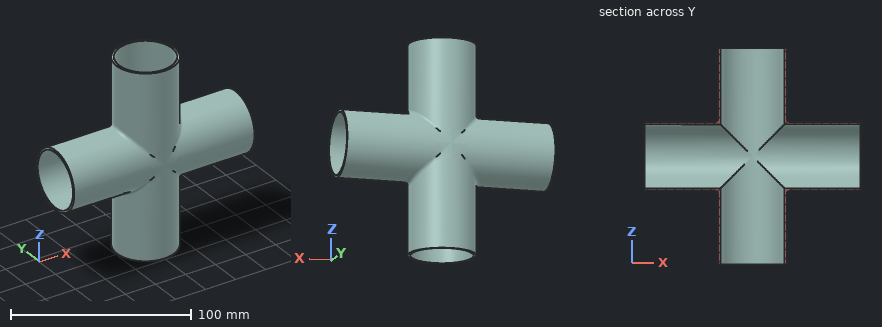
import cadquery as cq
import math

span = 120.0
outer_diameter = 38.2
bore_diameter = 35.2
overall_depth = 38.3
crotch_radius = 2.0
fillet_end_angle = 60.0
patch_half_width = 8.4
edge_intervals = 4

outer_radius = outer_diameter / 2
end_sine = math.sin(math.radians(fillet_end_angle))
end_cosine = math.cos(math.radians(fillet_end_angle))

fillet_end_y = outer_radius * end_sine
near_offset = outer_radius * end_cosine
far_offset = (outer_radius + crotch_radius) * end_cosine


def crossed_cylinders(diameter):
    """Two equal full-length cylinders along X and Z, crossing at the origin."""
    along_x = cq.Workplane("YZ").circle(diameter / 2).extrude(span / 2, both=True)
    along_z = cq.Workplane("XY").circle(diameter / 2).extrude(span / 2, both=True)
    return along_x.union(along_z)


def filleted_middle(tubes):
    """Middle slab of the tubes, where the four crotches are separate edges that can be rounded."""
    slab = cq.Workplane("XY").box(span, 2 * fillet_end_y, span)
    return tubes.intersect(slab).edges("%ELLIPSE").fillet(crotch_radius)


def patch_sector():
    """One of the eight faces of the +Y patch, between the +X axis and the +X +Z diagonal."""
    crown = cq.Vector(0, overall_depth / 2, 0)
    tube_edge_points = []
    for index in range(edge_intervals + 1):
        fraction = index / edge_intervals
        z = near_offset * fraction
        x = patch_half_width + (far_offset - patch_half_width) * fraction**2
        tube_edge_points.append(cq.Vector(x, math.sqrt(outer_radius**2 - z**2), z))

    ball_centre = cq.Vector(far_offset, (outer_radius + crotch_radius) * end_sine, far_offset)
    on_x_tube = tube_edge_points[-1]
    on_z_tube = cq.Vector(near_offset, fillet_end_y, far_offset)

    def on_ball(target):
        return ball_centre + (target - ball_centre).normalized() * crotch_radius

    fillet_middle = on_ball((on_x_tube + on_z_tube) * 0.5)
    quarter_point = on_ball((on_x_tube + fillet_middle) * 0.5)

    level = cq.Vector(1, 0, 1)
    along_fillet = cq.Vector(end_sine, -end_cosine, end_sine)
    edges = [
        cq.Edge.makeLine(crown, tube_edge_points[0]),
        cq.Edge.makeSpline(tube_edge_points),
        cq.Edge.makeThreePointArc(on_x_tube, quarter_point, fillet_middle),
        cq.Edge.makeSpline([crown, fillet_middle], tangents=[level, along_fillet]),
    ]
    return cq.Face.makeNSidedSurface(edges, [])


def column(face, start, depth):
    """Solid swept along -Y from a patch face raised by the start distance."""
    raised = face.translate(cq.Vector(0, start, 0))
    return cq.Workplane(cq.Solid.extrudeLinear(raised, cq.Vector(0, -depth, 0)))


def full_turn(sector):
    """Eight copies of a sector column, joined round the Y axis."""
    other_side = sector.mirror("XY").rotate((0, 0, 0), (0, 1, 0), -90)
    whole = sector.union(other_side)
    for plane in ("XY", "YZ"):
        whole = whole.union(whole.mirror(plane))
    return whole


def centre_window(face):
    """Patch outline carried right through the part."""
    return full_turn(column(face, outer_diameter, 4 * outer_diameter))


def centre_plug(face):
    """Block filling the window, ending in the domed patch on both sides."""
    positive_y = cq.Workplane("XY").box(span, span, span).translate((0, span / 2, 0))
    half_plug = full_turn(column(face, 0, outer_diameter).intersect(positive_y))
    return half_plug.union(half_plug.mirror("XZ"))


tubes = crossed_cylinders(outer_diameter)
face = patch_sector()
rounded = tubes.union(filleted_middle(tubes))
outside = rounded.cut(centre_window(face)).union(centre_plug(face))
result = outside.cut(crossed_cylinders(bore_diameter)).solids()